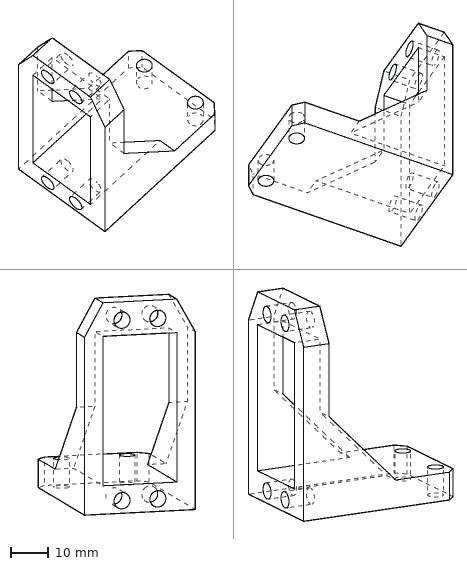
import cadquery as cq

width = 30.95
depth = 47.0
height = 57.5

thickness = 7.75
side_wall = 5.2
window_top = 48.35
gusset_leg = 20.3

base_chamfer = 2.6
top_cut_width = side_wall
top_cut_height = height - window_top

plate_hole_diameter = 4.4
plate_hole_spacing = 10.0
upper_hole_z = height - 5.0
lower_hole_z = 3.45
lower_hole_depth = thickness
base_hole_diameter = 4.2
base_hole_spacing = 18.3
base_hole_y = depth - 3.35


def plate_holes(z, hole_depth):
    """A pair of holes running back from the front face at height z."""
    half_spacing = plate_hole_spacing / 2
    return (
        cq.Workplane("XZ")
        .pushPoints([(-half_spacing, z), (half_spacing, z)])
        .circle(plate_hole_diameter / 2)
        .extrude(-hole_depth)
    )


gusset_end_y = thickness + gusset_leg
gusset_top_z = thickness + gusset_leg
body = (
    cq.Workplane("YZ")
    .polyline([
        (0, 0),
        (depth, 0),
        (depth, thickness),
        (gusset_end_y, thickness),
        (thickness, gusset_top_z),
        (thickness, height),
        (0, height),
    ])
    .close()
    .extrude(width / 2, both=True)
)

body = body.faces(">Y").edges("|Z").chamfer(base_chamfer)

half_width = width / 2
front_outline = (
    cq.Workplane("XZ")
    .polyline([
        (-half_width, 0),
        (half_width, 0),
        (half_width, height - top_cut_height),
        (half_width - top_cut_width, height),
        (-half_width + top_cut_width, height),
        (-half_width, height - top_cut_height),
    ])
    .close()
    .extrude(-depth)
)
body = body.intersect(front_outline)

window = cq.Workplane("XY").box(
    width - 2 * side_wall, depth, window_top - thickness, centered=(True, False, False)
).translate((0, 0, thickness))
body = body.cut(window)

body = body.cut(plate_holes(upper_hole_z, thickness))
body = body.cut(plate_holes(lower_hole_z, lower_hole_depth))

base_holes = (
    cq.Workplane("XY")
    .pushPoints([(-base_hole_spacing / 2, base_hole_y), (base_hole_spacing / 2, base_hole_y)])
    .circle(base_hole_diameter / 2)
    .extrude(thickness)
)
result = body.cut(base_holes)